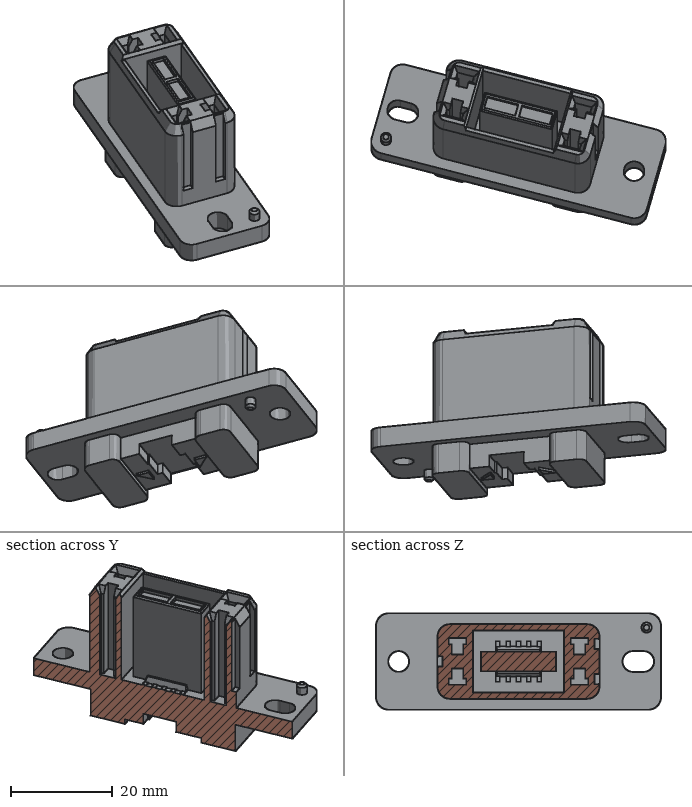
import cadquery as cq

PLATE_LENGTH = 56.0
PLATE_WIDTH = 19.0
PLATE_THICKNESS = 4.05
PLATE_CORNER_RADIUS = 2.5
HOLE_OFFSET = 23.5
HOLE_DIAMETER = 4.05
OBLONG_LENGTH = 6.15

PIN_DIAMETER = 2.0
PIN_HEIGHT = 2.1
PIN_CHAMFER = 0.45
PIN_Y = 6.65
UPPER_PIN_X = 25.15
LOWER_PIN_X = -20.2

SHELL_LENGTH = 31.85
SHELL_WIDTH = 14.7
SHELL_HEIGHT = 19.8
SHELL_CORNER_RADIUS = 2.5
LEAD_HEIGHT = 2.0
LEAD_ANGLE = 30.0
SHELL_TOP = PLATE_THICKNESS + SHELL_HEIGHT

KEY_WIDTH = 1.95
KEY_DEPTH = 1.0
KEY_START_HEIGHT = 3.7
KEY_BOTTOM = PLATE_THICKNESS + KEY_START_HEIGHT
KEY_PAIR_Y = 3.5

CAVITY_LENGTH = 17.85
CAVITY_WIDTH = 12.1
CAVITY_FLOOR = PLATE_THICKNESS
RIM_DROP = 1.0
RIM_CHAMFER_WIDTH = 0.45
RIM_CHAMFER_HEIGHT = 0.8

TONGUE_LENGTH = 14.7
TONGUE_WIDTH = 3.9
TONGUE_DROP = 1.2
TONGUE_TOP = SHELL_TOP - TONGUE_DROP
TONGUE_CHAMFER = 0.31
TONGUE_POCKET_LENGTH = 6.3
TONGUE_POCKET_WIDTH = 2.4
TONGUE_POCKET_DEPTH = 0.7
TONGUE_POCKET_X = 3.5

FOOT_LENGTH = 8.95
FOOT_WIDTH = 6.0
FOOT_HEIGHT = 1.1
FOOT_TOP_LENGTH = 8.35
FOOT_TOP_WIDTH = 4.7
PAD_COUNT = 5
PAD_WIDTH = 0.85
PAD_HEIGHT = 0.1
PAD_REACH = 4.0
PAD_PITCH = (FOOT_LENGTH - PAD_WIDTH) / (PAD_COUNT - 1)

TERMINAL_X = 12.0
FUNNEL_Y = 4.0
FUNNEL_LENGTH = 5.15
FUNNEL_WIDTH = 2.8
FUNNEL_DEPTH = 1.5
TERMINAL_LENGTH = 3.35
TERMINAL_WIDTH = 1.2
STEM_LENGTH = 2.2
STEM_INNER_Y = 1.4
TERMINAL_FLOOR = PLATE_THICKNESS

END_BLOCK_X = 12.0
END_BLOCK_LENGTH = 7.45
END_BLOCK_WIDTH = 15.6
END_BLOCK_HEIGHT = 6.1
END_BLOCK_RADIUS = 1.55
BRIDGE_WIDTH = 11.65
BRIDGE_HEIGHT = 5.05
BRIDGE_GAP_TOP = 2.7
GAP_WIDE = 4.25
GAP_MIDDLE = 3.9
GAP_NARROW = 2.8
PEG_X = 6.3
PEG_SIZE = 2.65
PEG_HEIGHT = 0.5


def block(length, width, bottom, top, x=0, y=0):
    """Upright box centred at (x, y) between two heights."""
    solid = cq.Workplane("XY").box(length, width, top - bottom, centered=(True, True, False))
    return solid.translate((x, y, bottom))


def frustum(bottom_size, bottom, top_size, top, x=0, y=0):
    """Flat-sided block that changes from one rectangle to another."""
    return (
        cq.Workplane("XY", origin=(x, y, bottom))
        .rect(*bottom_size)
        .workplane(offset=top - bottom)
        .rect(*top_size)
        .loft(ruled=True)
    )


def mounting_plate():
    plate = block(PLATE_LENGTH, PLATE_WIDTH, 0, PLATE_THICKNESS).edges("|Z").fillet(PLATE_CORNER_RADIUS)
    plate = plate.faces(">Z").workplane(origin=(0, 0, 0)).center(-HOLE_OFFSET, 0).hole(HOLE_DIAMETER)
    return (
        plate.faces(">Z")
        .workplane(origin=(0, 0, 0))
        .center(HOLE_OFFSET, 0)
        .slot2D(OBLONG_LENGTH, HOLE_DIAMETER)
        .cutThruAll()
    )


def locating_pins():
    radius = PIN_DIAMETER / 2
    length = PLATE_THICKNESS + PIN_HEIGHT
    upper = cq.Workplane("XY").circle(radius).extrude(length).faces(">Z").chamfer(PIN_CHAMFER)
    lower = cq.Workplane("XY").circle(radius).extrude(-length).faces("<Z").chamfer(PIN_CHAMFER)
    upper = upper.translate((UPPER_PIN_X, PIN_Y, 0))
    lower = lower.translate((LOWER_PIN_X, PIN_Y, PLATE_THICKNESS))
    return upper.union(lower)


def shell_body():
    body = block(SHELL_LENGTH, SHELL_WIDTH, 0, SHELL_TOP - LEAD_HEIGHT)
    body = body.edges("|Z").fillet(SHELL_CORNER_RADIUS)
    return body.faces(">Z").wires().toPending().extrude(LEAD_HEIGHT, taper=LEAD_ANGLE)


def key_grooves():
    bottom_and_top = (KEY_BOTTOM, SHELL_TOP)
    reach = SHELL_LENGTH / 2
    grooves = block(2 * KEY_DEPTH, KEY_WIDTH, *bottom_and_top, -reach)
    for y in (-KEY_PAIR_Y, KEY_PAIR_Y):
        grooves = grooves.union(block(2 * KEY_DEPTH, KEY_WIDTH, *bottom_and_top, reach, y))
    return grooves


def signal_cavity():
    half = CAVITY_LENGTH / 2
    rim = SHELL_TOP - RIM_DROP
    chamfer_bottom = SHELL_TOP - RIM_CHAMFER_HEIGHT
    saddle = (
        cq.Workplane("XZ")
        .moveTo(-half, rim)
        .lineTo(half, rim)
        .lineTo(half, chamfer_bottom)
        .lineTo(half + RIM_CHAMFER_WIDTH, SHELL_TOP)
        .lineTo(-half - RIM_CHAMFER_WIDTH, SHELL_TOP)
        .lineTo(-half, chamfer_bottom)
        .close()
        .extrude(SHELL_WIDTH / 2, both=True)
    )
    return saddle.union(block(CAVITY_LENGTH, CAVITY_WIDTH, CAVITY_FLOOR, SHELL_TOP - RIM_DROP))


def signal_tongue():
    tongue = block(TONGUE_LENGTH, TONGUE_WIDTH, 0, TONGUE_TOP).faces(">Z").chamfer(TONGUE_CHAMFER)
    for x in (-TONGUE_POCKET_X, TONGUE_POCKET_X):
        floor = TONGUE_TOP - TONGUE_POCKET_DEPTH
        tongue = tongue.cut(block(TONGUE_POCKET_LENGTH, TONGUE_POCKET_WIDTH, floor, TONGUE_TOP, x))
    foot_base = (FOOT_LENGTH, FOOT_WIDTH)
    foot_top = (FOOT_TOP_LENGTH, FOOT_TOP_WIDTH)
    foot = frustum(foot_base, CAVITY_FLOOR, foot_top, CAVITY_FLOOR + FOOT_HEIGHT)
    tongue = tongue.union(foot)
    for i in range(PAD_COUNT):
        x = (i - (PAD_COUNT - 1) / 2) * PAD_PITCH
        tongue = tongue.union(block(PAD_WIDTH, 2 * PAD_REACH, 0, CAVITY_FLOOR + PAD_HEIGHT, x))
    return tongue


def terminal_opening(x, side):
    """Funnel, contact slot and the stem slot that points to the middle; side is +1 or -1 along Y."""
    y = side * FUNNEL_Y
    throat = (TERMINAL_LENGTH, TERMINAL_WIDTH)
    mouth = (FUNNEL_LENGTH, FUNNEL_WIDTH)
    funnel = frustum(throat, SHELL_TOP - FUNNEL_DEPTH, mouth, SHELL_TOP, x, y)
    slot = block(TERMINAL_LENGTH, TERMINAL_WIDTH, TERMINAL_FLOOR, SHELL_TOP, x, y)
    stem_width = FUNNEL_Y - STEM_INNER_Y
    stem_y = side * (FUNNEL_Y + STEM_INNER_Y) / 2
    stem = block(STEM_LENGTH, stem_width, TERMINAL_FLOOR, SHELL_TOP, x, stem_y)
    return funnel.union(slot).union(stem)


def end_block(x):
    outline = block(END_BLOCK_LENGTH, END_BLOCK_WIDTH, -END_BLOCK_HEIGHT, PLATE_THICKNESS, x)
    return outline.edges("|Z").fillet(END_BLOCK_RADIUS)


def bridge():
    """Block joining the end blocks, with a stepped gap that is the same after half a turn about Z."""
    body = block(2 * END_BLOCK_X, BRIDGE_WIDTH, -BRIDGE_HEIGHT, PLATE_THICKNESS)
    gap_steps = ((GAP_WIDE, GAP_NARROW), (GAP_MIDDLE, GAP_MIDDLE), (GAP_NARROW, GAP_WIDE))
    step_width = BRIDGE_WIDTH / len(gap_steps)
    for i, (left, right) in enumerate(gap_steps):
        y = (i - (len(gap_steps) - 1) / 2) * step_width
        gap_x = (right - left) / 2
        body = body.cut(block(left + right, step_width, -BRIDGE_HEIGHT, -BRIDGE_GAP_TOP, gap_x, y))
    return body


def corner_peg(side):
    """Low three-sided peg whose slanted face looks outward and forward; side is +1 or -1 along X."""
    outer = side * (PEG_X + PEG_SIZE / 2)
    inner = side * (PEG_X - PEG_SIZE / 2)
    peg = cq.Workplane("XY", origin=(0, 0, -BRIDGE_HEIGHT))
    return peg.polyline([(outer, 0), (inner, -PEG_SIZE), (inner, 0)]).close().extrude(-PEG_HEIGHT)


shell = shell_body().cut(key_grooves()).cut(signal_cavity())
for terminal_x in (-TERMINAL_X, TERMINAL_X):
    for terminal_side in (-1, 1):
        shell = shell.cut(terminal_opening(terminal_x, terminal_side))

result = mounting_plate().union(locating_pins()).union(shell).union(signal_tongue()).union(bridge())
for direction in (-1, 1):
    result = result.union(end_block(direction * END_BLOCK_X)).union(corner_peg(direction))